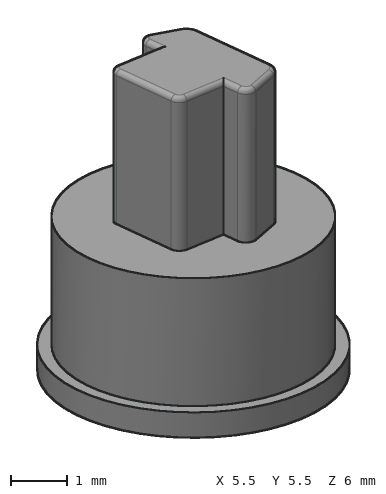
import cadquery as cq
import math

FLANGE_DIAMETER = 5.5
FLANGE_HEIGHT = 0.5
BODY_DIAMETER = 5.0
BODY_TOP = 3.0
TOTAL_HEIGHT = 6.0

STEM_HALF_WIDTH = 0.9
STEM_FRONT_Y = -1.2
HEAD_BACK_Y = 1.0
LEFT_SHOULDER_Y = 0.0
RIGHT_SHOULDER_Y = -0.12
HEAD_HALF_WIDTH = 1.5
SIDE_SLOPE = 20.0
CORNER_RADIUS = 0.2
BACK_CORNER_RADIUS = 0.3
TOP_EDGE_RADIUS = 0.1


def head_half_width(y):
    """Distance from the YZ plane to a sloping head side at the given Y."""
    return HEAD_HALF_WIDTH - y * math.tan(math.radians(SIDE_SLOPE))


def make_base():
    flange = cq.Workplane("XY").circle(FLANGE_DIAMETER / 2).extrude(FLANGE_HEIGHT)
    body = cq.Workplane("XY").circle(BODY_DIAMETER / 2).extrude(BODY_TOP)
    return flange.union(body)


def make_key():
    stem_front = [(-STEM_HALF_WIDTH, STEM_FRONT_Y), (STEM_HALF_WIDTH, STEM_FRONT_Y)]
    right_inner = (STEM_HALF_WIDTH, RIGHT_SHOULDER_Y)
    right_tip = (head_half_width(RIGHT_SHOULDER_Y), RIGHT_SHOULDER_Y)
    back_half_width = head_half_width(HEAD_BACK_Y)
    back = [(back_half_width, HEAD_BACK_Y), (-back_half_width, HEAD_BACK_Y)]
    left_tip = (-head_half_width(LEFT_SHOULDER_Y), LEFT_SHOULDER_Y)
    left_inner = (-STEM_HALF_WIDTH, LEFT_SHOULDER_Y)

    outline = stem_front + [right_inner, right_tip] + back + [left_tip, left_inner]
    key = cq.Workplane("XY", origin=(0, 0, BODY_TOP)).polyline(outline).close()
    key = key.extrude(TOTAL_HEIGHT - BODY_TOP)

    rounded_corners = [
        (stem_front + [right_tip, left_tip], CORNER_RADIUS),
        (back, BACK_CORNER_RADIUS),
    ]
    middle_z = (BODY_TOP + TOTAL_HEIGHT) / 2
    for corners, radius in rounded_corners:
        for x, y in corners:
            nearest_edge = cq.selectors.NearestToPointSelector((x, y, middle_z))
            key = key.edges("|Z").edges(nearest_edge).fillet(radius)

    return key.faces(">Z").edges().fillet(TOP_EDGE_RADIUS)


result = make_base().union(make_key())